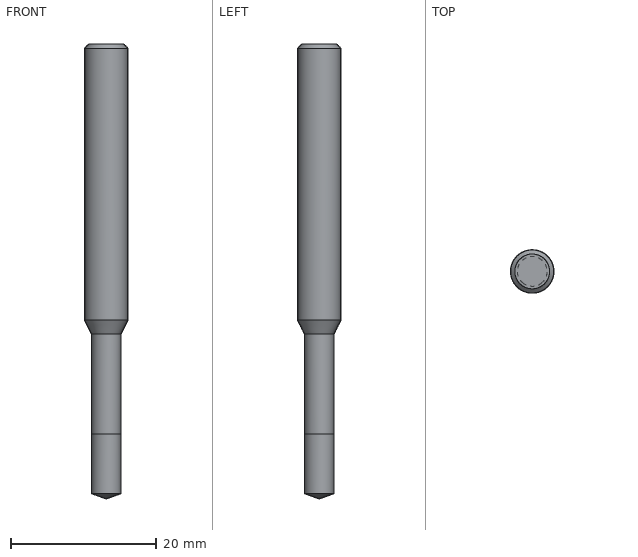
import cadquery as cq
import math

shank_diameter = 6.0
drill_diameter = 4.1
point_angle = 140.0
length_to_corner = 62.0
shank_chamfer = 0.6
shank_length = 38.1
taper_length = 1.9
cutting_length = 2 * drill_diameter

shank_radius = shank_diameter / 2
drill_radius = drill_diameter / 2
point_height = drill_radius / math.tan(math.radians(point_angle / 2))

corner_z = point_height
split_z = corner_z + cutting_length
shank_end_z = corner_z + length_to_corner
taper_top_z = shank_end_z - shank_length
taper_bottom_z = taper_top_z - taper_length


def turned_body(outline):
    """Revolve a closed outline of (radius, z) points about the Z axis."""
    return cq.Workplane("XZ").polyline(outline).close().revolve(360, (0, 0), (0, 1))


cutting_tip = turned_body([
    (0, 0),
    (drill_radius, corner_z),
    (drill_radius, split_z),
    (0, split_z),
])

holder = turned_body([
    (0, split_z),
    (drill_radius, split_z),
    (drill_radius, taper_bottom_z),
    (shank_radius, taper_top_z),
    (shank_radius, shank_end_z - shank_chamfer),
    (shank_radius - shank_chamfer, shank_end_z),
    (0, shank_end_z),
])

result = cq.Compound.makeCompound([cutting_tip.val(), holder.val()])